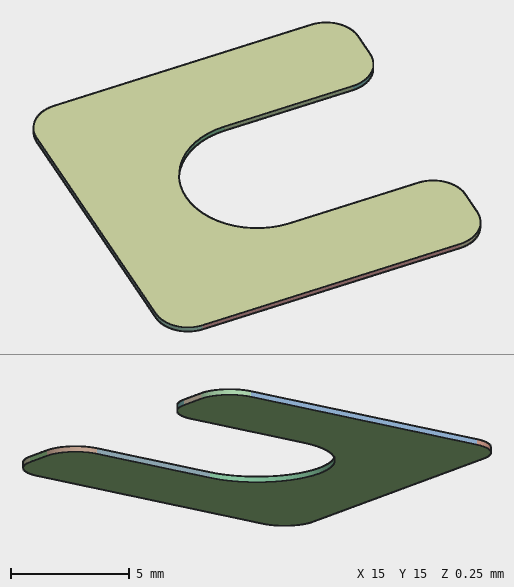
import cadquery as cq

side_length = 15.0
thickness = 0.25
slot_width = 6.6
corner_radius = 1.5

half_side = side_length / 2
slot_radius = slot_width / 2


def make_plate():
    """Square shim plate centred on the Z axis, resting on the XY plane."""
    return cq.Workplane("XY").rect(side_length, side_length).extrude(thickness)


def make_slot():
    """Round-ended slot from the plate centre out through the +Y edge."""
    return (
        cq.Workplane("XY")
        .moveTo(-slot_radius, half_side)
        .lineTo(-slot_radius, 0)
        .threePointArc((0, -slot_radius), (slot_radius, 0))
        .lineTo(slot_radius, half_side)
        .close()
        .extrude(thickness)
    )


def round_corners(body):
    """Round the four outer corners and the two corners at the slot mouth."""
    top_corners = body.faces(">Y").edges("|Z")
    bottom_corners = body.faces("<Y").edges("|Z")
    return body.newObject(top_corners.vals() + bottom_corners.vals()).fillet(corner_radius)


result = round_corners(make_plate().cut(make_slot()))